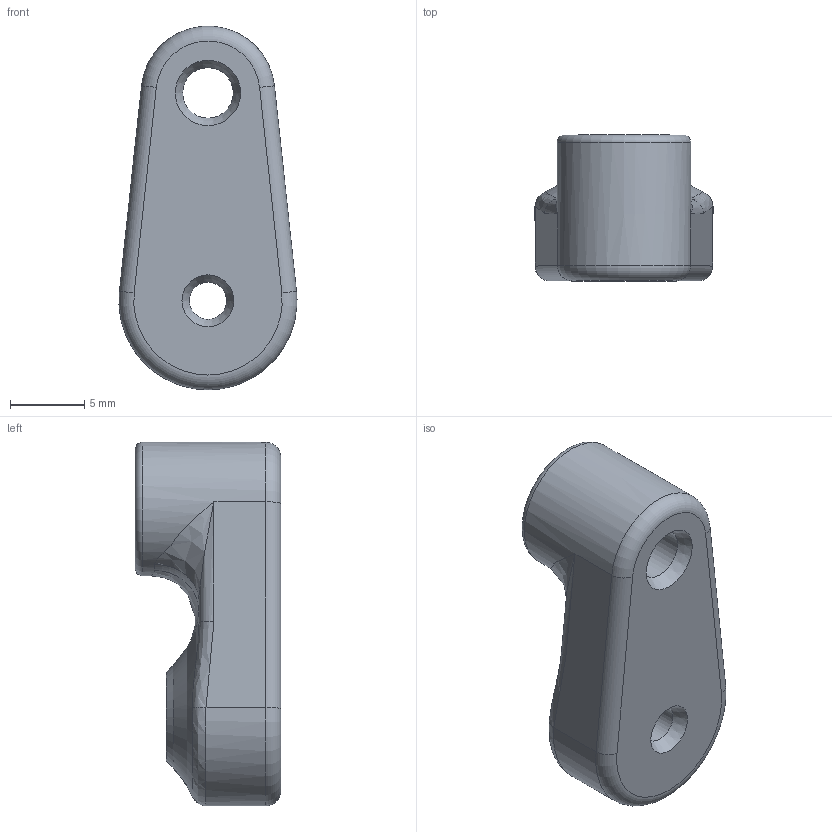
import cadquery as cq
import math

hole_spacing = 14.0
boss_radius = 4.5
lower_radius = 6.0
plate_thickness = 5.5
edge_round = 1.0

boss_length = 9.8
boss_rim_round = 0.5
boss_root_fillet = 3.0

pad_height = 7.7
pad_top_radius = 3.0
pad_half_angle = math.radians(45)
pad_root_fillet = 6.0

upper_hole_diameter = 3.4
lower_hole_diameter = 2.5
chamfer_width = 0.5
chamfer_depth = 0.9

side_slope = (lower_radius - boss_radius) / hole_spacing
side_rise = math.sqrt(1 - side_slope**2)


def side_point(radius, center_z):
    """Point (+X side) where the straight side meets an end circle."""
    return radius * side_rise, center_z + radius * side_slope


upper_x, upper_z = side_point(boss_radius, 0)
lower_x, lower_z = side_point(lower_radius, -hole_spacing)


def outline_prism(length):
    """Teardrop outline extruded from the front face toward +Y."""
    return (
        cq.Workplane("XZ")
        .moveTo(upper_x, upper_z)
        .threePointArc((0, boss_radius), (-upper_x, upper_z))
        .lineTo(-lower_x, lower_z)
        .threePointArc((0, -hole_spacing - lower_radius), (lower_x, lower_z))
        .close()
        .extrude(-length)
    )


def make_pad():
    """Cone that flows into the back of the plate through a concave arc."""
    cone_foot_radius = pad_top_radius + (pad_height - plate_thickness) / math.tan(pad_half_angle)
    tangent_length = pad_root_fillet * math.tan(pad_half_angle / 2)
    arc_start_radius = cone_foot_radius - tangent_length * math.cos(pad_half_angle)
    arc_start_y = plate_thickness + tangent_length * math.sin(pad_half_angle)
    arc_end_radius = cone_foot_radius + tangent_length
    arc_center_y = plate_thickness + pad_root_fillet
    arc_mid = (
        arc_end_radius - pad_root_fillet * math.sin(pad_half_angle / 2),
        arc_center_y - pad_root_fillet * math.cos(pad_half_angle / 2),
    )
    pad_plane = cq.Plane(origin=(0, 0, -hole_spacing), xDir=(0, 0, -1), normal=(1, 0, 0))
    return (
        cq.Workplane(pad_plane)
        .lineTo(arc_end_radius, 0)
        .lineTo(arc_end_radius, plate_thickness)
        .threePointArc(arc_mid, (arc_start_radius, arc_start_y))
        .lineTo(pad_top_radius, pad_height)
        .lineTo(0, pad_height)
        .close()
        .revolve(360, (0, 0, 0), (0, 1, 0))
    )


def make_plate():
    """Plate with its pad, all outer edges rounded except the arc that the boss will cover."""
    pad = make_pad().intersect(outline_prism(pad_height))
    plate = outline_prism(plate_thickness).union(pad)
    lower_wall = plate.faces("%CYLINDER").faces("<Z")
    walls = plate.faces("#Y").add(lower_wall)
    wall_rims = walls.edges("not |Y").vals()
    back_rim = [edge for edge in wall_rims if edge.Center().y > plate_thickness / 2]
    plate = plate.newObject(back_rim).fillet(edge_round)
    return plate.faces("<Y").edges().fillet(edge_round)


def make_boss():
    """Cylinder flush with the upper end of the plate, starting halfway through it."""
    boss_start = plate_thickness / 2
    boss_plane = cq.Plane(origin=(0, boss_start, 0), xDir=(0, 0, 1), normal=(0, -1, 0))
    return (
        cq.Workplane(boss_plane)
        .circle(boss_radius)
        .extrude(boss_start - boss_length)
        .faces(">Y")
        .edges()
        .fillet(boss_rim_round)
    )


def join_boss(plate):
    """Add the boss and fillet the joint, which runs along the underside of the boss."""
    joint_box = cq.selectors.BoxSelector(
        (-boss_radius, plate_thickness - edge_round, -boss_radius - edge_round / 2),
        (boss_radius, plate_thickness + edge_round / 2, upper_z),
    )
    return plate.union(make_boss()).edges(joint_box).fillet(boss_root_fillet)


def make_hole(diameter, center_z):
    """Cutter for a through hole with a steep chamfer at the front face."""
    radius = diameter / 2
    return (
        cq.Workplane("XY")
        .lineTo(radius + chamfer_width, 0)
        .lineTo(radius, chamfer_depth)
        .lineTo(radius, boss_length)
        .lineTo(0, boss_length)
        .close()
        .revolve(360, (0, 0, 0), (0, 1, 0))
        .translate((0, 0, center_z))
    )


result = join_boss(make_plate())
for hole_diameter, hole_z in ((upper_hole_diameter, 0), (lower_hole_diameter, -hole_spacing)):
    result = result.cut(make_hole(hole_diameter, hole_z))